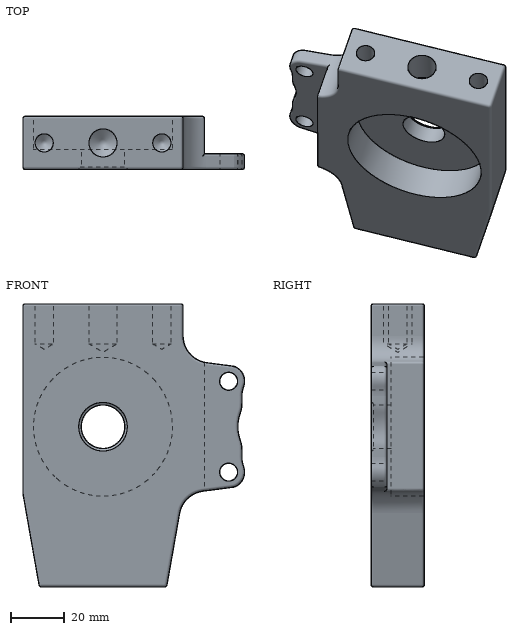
import cadquery as cq
import math


THICKNESS = 20.0
HALF_WIDTH = 30.0
TOP_Z = 46.0
BOTTOM_Z = -60.0
TAPER_START_Z = -25.0
TAPER_ANGLE = math.radians(10.0)
BLEND_RADIUS = 10.0
EDGE_RADIUS = 1.0
BORE_DIAMETER = 16.2
BORE_LENGTH = 7.5
POCKET_DIAMETER = 52.0

FLANGE_THICKNESS = 6.0
FLANGE_STEP_X = 38.0
EAR_X = 47.0
EAR_Z = 17.0
EAR_RADIUS = 6.0
EAR_HOLE_DIAMETER = 6.6
EAR_SLOPE = math.radians(7.5)

END_FLAT_X = 52.0
END_WAVE_RADIUS = 10.0
VALLEY_X = 50.5
VALLEY_RADIUS = 15.0

TOP_HOLE_DIAMETER = 10.5
TOP_HOLE_DEPTH = 15.0
SIDE_HOLE_DIAMETER = 6.8
SIDE_HOLE_DEPTH = 15.0
SIDE_HOLE_X = 22.0
DRILL_POINT_ANGLE = math.radians(118.0)

FRONT_Y = -THICKNESS / 2
BACK_Y = THICKNESS / 2
TAPER_SLOPE = math.tan(TAPER_ANGLE)
TAPER_INSET = (TAPER_START_Z - BOTTOM_Z) * TAPER_SLOPE
BOTTOM_HALF_WIDTH = HALF_WIDTH - TAPER_INSET


def mirrored(point):
    """Mirror an (x, z) point across the plane Z = 0."""
    return (point[0], -point[1])


def polar(center, radius, angle):
    """Point on a circle at an angle measured from +X towards +Z."""
    return (center[0] + radius * math.cos(angle), center[1] + radius * math.sin(angle))


EAR_CENTER = (EAR_X, EAR_Z)

HOLLOW_X = END_FLAT_X + END_WAVE_RADIUS
HOLLOW_REACH = EAR_RADIUS + END_WAVE_RADIUS
HOLLOW_ANGLE = -math.acos((HOLLOW_X - EAR_X) / HOLLOW_REACH)
HOLLOW_CENTER = polar(EAR_CENTER, HOLLOW_REACH, HOLLOW_ANGLE)
EAR_ARC_END = polar(EAR_CENTER, EAR_RADIUS, HOLLOW_ANGLE)
FLAT_TOP = (END_FLAT_X, HOLLOW_CENTER[1])

EAR_ARC_START_ANGLE = HOLLOW_ANGLE + math.pi / 2
EAR_ARC_START = polar(EAR_CENTER, EAR_RADIUS, EAR_ARC_START_ANGLE)
UPPER_ROOT = (
    HALF_WIDTH,
    EAR_ARC_START[1] + (EAR_ARC_START[0] - HALF_WIDTH) * math.tan(EAR_SLOPE),
)
LOWER_ROOT_SHIFT = (-TAPER_START_Z - UPPER_ROOT[1]) / (1 / TAPER_SLOPE - math.tan(EAR_SLOPE))
LOWER_ROOT_X = HALF_WIDTH + LOWER_ROOT_SHIFT
LOWER_ROOT = (LOWER_ROOT_X, -UPPER_ROOT[1] + (LOWER_ROOT_X - HALF_WIDTH) * math.tan(EAR_SLOPE))

CREST_X = END_FLAT_X - END_WAVE_RADIUS
CREST_REACH = VALLEY_RADIUS + END_WAVE_RADIUS
CREST_ANGLE = math.acos((VALLEY_X + VALLEY_RADIUS - CREST_X) / CREST_REACH)
CREST_CENTER = (CREST_X, CREST_REACH * math.sin(CREST_ANGLE))
FLAT_BOTTOM = (END_FLAT_X, CREST_CENTER[1])
VALLEY_TOP = polar(CREST_CENTER, END_WAVE_RADIUS, -CREST_ANGLE)

EAR_MID = polar(EAR_CENTER, EAR_RADIUS, (EAR_ARC_START_ANGLE + HOLLOW_ANGLE) / 2)
HOLLOW_MID = polar(HOLLOW_CENTER, END_WAVE_RADIUS, math.pi + HOLLOW_ANGLE / 2)
CREST_MID = polar(CREST_CENTER, END_WAVE_RADIUS, -CREST_ANGLE / 2)

TOP_LEFT = (-HALF_WIDTH, TOP_Z)
TOP_RIGHT = (HALF_WIDTH, TOP_Z)
BOTTOM_RIGHT = (BOTTOM_HALF_WIDTH, BOTTOM_Z)
BOTTOM_LEFT = (-BOTTOM_HALF_WIDTH, BOTTOM_Z)
TAPER_LEFT = (-HALF_WIDTH, TAPER_START_Z)


def round_corners(solid, corners, radius):
    """Round the edges along Y that pass through the given (x, z) corners."""
    for x, z in corners:
        edge = cq.selectors.NearestToPointSelector((x, 0, z))
        solid = solid.edges("|Y").edges(edge).fillet(radius)
    return solid


def outline_plate(start_y, depth):
    """Full outline of block and flange, from start_y towards +Y."""
    plate = (
        cq.Workplane("XZ", origin=(0, start_y, 0))
        .moveTo(*TOP_LEFT)
        .lineTo(*TOP_RIGHT)
        .lineTo(*UPPER_ROOT)
        .lineTo(*EAR_ARC_START)
        .threePointArc(EAR_MID, EAR_ARC_END)
        .threePointArc(HOLLOW_MID, FLAT_TOP)
        .lineTo(*FLAT_BOTTOM)
        .threePointArc(CREST_MID, VALLEY_TOP)
        .threePointArc((VALLEY_X, 0), mirrored(VALLEY_TOP))
        .threePointArc(mirrored(CREST_MID), mirrored(FLAT_BOTTOM))
        .lineTo(*mirrored(FLAT_TOP))
        .threePointArc(mirrored(HOLLOW_MID), mirrored(EAR_ARC_END))
        .threePointArc(mirrored(EAR_MID), mirrored(EAR_ARC_START))
        .lineTo(*LOWER_ROOT)
        .lineTo(*BOTTOM_RIGHT)
        .lineTo(*BOTTOM_LEFT)
        .lineTo(*TAPER_LEFT)
        .close()
        .extrude(-depth)
    )
    plate = round_corners(plate, [UPPER_ROOT, LOWER_ROOT, TAPER_LEFT], BLEND_RADIUS)
    return round_corners(plate, [TOP_LEFT, TOP_RIGHT, BOTTOM_RIGHT, BOTTOM_LEFT], EDGE_RADIUS)


def front_layer():
    """Front part of the whole outline, as thick as the flange, with both rims rounded."""
    return outline_plate(FRONT_Y, FLANGE_THICKNESS).faces("<Y or >Y").edges().fillet(EDGE_RADIUS)


def thick_block():
    """Block behind the flange, ending in a step wall; it starts inside the front layer."""
    beyond_step = (
        cq.Workplane("XY")
        .box(EAR_X, THICKNESS, TOP_Z - BOTTOM_Z, centered=(False, True, True))
        .translate((FLANGE_STEP_X, 0, 0))
    )
    block = outline_plate(FRONT_Y + FLANGE_THICKNESS / 2, THICKNESS - FLANGE_THICKNESS / 2)
    block = block.cut(beyond_step)
    block = block.faces(">X").edges("|Y").fillet(EDGE_RADIUS)
    return block.faces(">Y").edges().fillet(EDGE_RADIUS)


def bore_cutter():
    """Bore with a rounded front rim, opening into a wide round pocket at the back."""
    bore_radius = BORE_DIAMETER / 2
    rim_radius = bore_radius + EDGE_RADIUS
    pocket_radius = POCKET_DIAMETER / 2
    pocket_floor_y = FRONT_Y + BORE_LENGTH
    return (
        cq.Workplane("XY")
        .moveTo(0, FRONT_Y)
        .lineTo(rim_radius, FRONT_Y)
        .radiusArc((bore_radius, FRONT_Y + EDGE_RADIUS), -EDGE_RADIUS)
        .lineTo(bore_radius, pocket_floor_y)
        .lineTo(pocket_radius, pocket_floor_y)
        .lineTo(pocket_radius, BACK_Y)
        .lineTo(0, BACK_Y)
        .close()
        .revolve(360, (0, 0, 0), (0, 1, 0))
    )


def ear_hole_cutter():
    """Through holes of the two ears."""
    return (
        cq.Workplane("XZ", origin=(0, FRONT_Y, 0))
        .pushPoints([EAR_CENTER, mirrored(EAR_CENTER)])
        .circle(EAR_HOLE_DIAMETER / 2)
        .extrude(-FLANGE_THICKNESS)
    )


def top_hole_cutter(x, diameter, depth):
    """Blind hole with a drill point, going down from the top face."""
    radius = diameter / 2
    point_depth = radius / math.tan(DRILL_POINT_ANGLE / 2)
    return (
        cq.Workplane("XZ")
        .moveTo(0, TOP_Z)
        .lineTo(radius, TOP_Z)
        .lineTo(radius, TOP_Z - depth)
        .lineTo(0, TOP_Z - depth - point_depth)
        .close()
        .revolve(360, (0, 0, 0), (0, 1, 0))
        .translate((x, 0, 0))
    )


result = front_layer().union(thick_block()).cut(bore_cutter()).cut(ear_hole_cutter())
result = result.cut(top_hole_cutter(0, TOP_HOLE_DIAMETER, TOP_HOLE_DEPTH))
for hole_x in (-SIDE_HOLE_X, SIDE_HOLE_X):
    result = result.cut(top_hole_cutter(hole_x, SIDE_HOLE_DIAMETER, SIDE_HOLE_DEPTH))